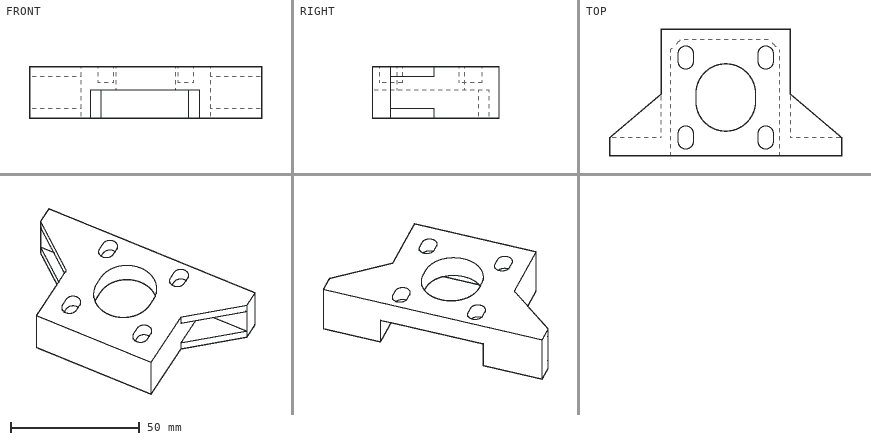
import cadquery as cq

width = 90.2
depth = 49.2
height = 20.0

body_width = 50.15
flange_thickness = 7.0
gusset_end_y = 24.0
gusset_thickness = 3.9

face_plate = 9.0
recess_width = 42.3
recess_offset_x = -0.4
rear_wall = (body_width - recess_width) / 2
recess_chamfer = 4.15

motor_center_y = 22.6
slot_travel = 3.0
shaft_diameter = 23.1
bolt_spacing = 31.0
bolt_slot_width = 5.95
bolt_slot_depth = 6.0


def make_slot(diameter, travel, points, cut_depth):
    """Cutter for slots along Y, reaching down from the top face."""
    return (
        cq.Workplane("XY")
        .workplane(offset=height - cut_depth)
        .pushPoints(points)
        .slot2D(diameter + travel, diameter, 90)
        .extrude(cut_depth)
    )


def make_gussets(bottom_z):
    """Trapezoid plate that braces both flange wings against the block."""
    return (
        cq.Workplane("XY")
        .workplane(offset=bottom_z)
        .polyline([
            (-width / 2, flange_thickness),
            (width / 2, flange_thickness),
            (body_width / 2, gusset_end_y),
            (-body_width / 2, gusset_end_y),
        ])
        .close()
        .extrude(gusset_thickness)
    )


def make_recess():
    """Cutter for the motor recess, with its two rear corners chamfered."""
    recess_depth = depth - rear_wall
    return (
        cq.Workplane("XY")
        .box(recess_width, recess_depth, height - face_plate, centered=(True, False, False))
        .edges("|Z and >Y")
        .chamfer(recess_chamfer)
        .translate((recess_offset_x, 0, 0))
    )


block = cq.Workplane("XY").box(body_width, depth, height, centered=(True, False, False))
flange = cq.Workplane("XY").box(width, flange_thickness, height, centered=(True, False, False))
bracket = block.union(flange)
for gusset_z in (0, height - gusset_thickness):
    bracket = bracket.union(make_gussets(gusset_z))

half_spacing = bolt_spacing / 2
bolt_points = [
    (side_x * half_spacing, motor_center_y + side_y * half_spacing)
    for side_x in (-1, 1)
    for side_y in (-1, 1)
]
shaft_opening = make_slot(shaft_diameter, slot_travel, [(0, motor_center_y)], height)
bolt_slots = make_slot(bolt_slot_width, slot_travel, bolt_points, bolt_slot_depth)

result = bracket.cut(make_recess()).cut(shaft_opening).cut(bolt_slots)